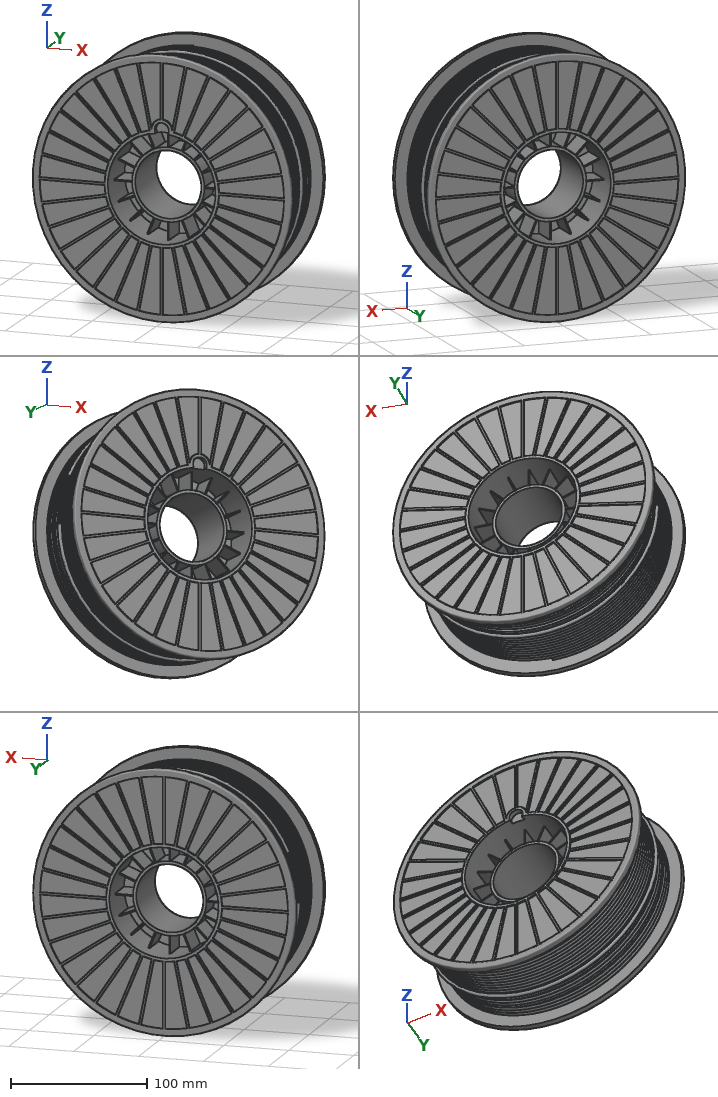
import cadquery as cq
SPOOL_WIDTH = 75.0
FLANGE_DIAMETER = 202.0
FLANGE_THICKNESS = 5.0
RIM_FILLET = 1.0
DRUM_DIAMETER = 89.0
DRUM_BORE = 84.0
CORE_DIAMETER = 56.5
CORE_BORE = 51.5

RECESS_DIAMETER = 190.7
RECESS_DEPTH = 1.0
SPOKE_COUNT = 32
SPOKE_WIDTH = 1.8

WEB_COUNT = 16
WEB_THICKNESS = 1.0
CORE_SETBACK = 14.3
DISC_THICKNESS = 2.0

SOCKET_DIAMETER = 11.1
SOCKET_DEPTH = 4.0
COLLAR_DIAMETER = 16.2

WINDING_DIAMETER = 185.2
WIRE_PITCH = 3.0
WIRE_TURNS = 20.5
TURN_CLEARANCE = 0.05
CREST_HEIGHT = 0.8

GAP_TURNS = (3, 6)
GAP_WIDTH = 1.2
GAP_DEPTH = 3.0

LOOP_DIAMETER = 190.3
LOOP_WIRE_DIAMETER = 3.0
LOOP_OFFSET = 5.7
LOOP_SWEEP = 337.0
LOOP_LIFT = 0.1
LOOP_BED_TURN = 8

FOOT_WIDTH = 1.2
FOOT_LENGTH = 4.0
FOOT_DEPTH = 2.0

FRONT_FACE = -SPOOL_WIDTH / 2
DRUM_LENGTH = SPOOL_WIDTH - 2 * FLANGE_THICKNESS
WINDING_RADIUS = WINDING_DIAMETER / 2
WINDING_LENGTH = (WIRE_TURNS + 1) * WIRE_PITCH
END_CLEARANCE = (DRUM_LENGTH - WINDING_LENGTH) / 2

CORE_WALL_RADIUS = (CORE_DIAMETER + CORE_BORE) / 4
DRUM_WALL_RADIUS = (DRUM_DIAMETER + DRUM_BORE) / 4
RIM_RADIUS = (FLANGE_DIAMETER + RECESS_DIAMETER) / 4


def section_at(y):
    """Sketch plane across the spool axis: +X right, +Z up, extruding toward -Y."""
    return cq.Workplane("XZ", origin=(0, y, 0))


def tube(outer_diameter, inner_diameter, y_back, length):
    return (
        section_at(y_back)
        .circle(outer_diameter / 2)
        .circle(inner_diameter / 2)
        .extrude(length)
    )


def radial_bars(count, width, inner_radius, outer_radius, y_back, length):
    """Equally spaced straight bars that run from one radius to another."""
    return (
        section_at(y_back)
        .polarArray((inner_radius + outer_radius) / 2, 0, 360, count)
        .rect(outer_radius - inner_radius, width)
        .extrude(length)
    )


def make_front_flange():
    flange = tube(FLANGE_DIAMETER, DRUM_BORE, FRONT_FACE + FLANGE_THICKNESS, FLANGE_THICKNESS)
    flange = flange.faces("<Y").edges(cq.selectors.RadiusNthSelector(-1)).fillet(RIM_FILLET)
    recess_floor = FRONT_FACE + RECESS_DEPTH
    flange = flange.cut(tube(RECESS_DIAMETER, DRUM_DIAMETER, recess_floor, RECESS_DEPTH))
    spokes = radial_bars(
        SPOKE_COUNT, SPOKE_WIDTH, DRUM_WALL_RADIUS, RIM_RADIUS, recess_floor, RECESS_DEPTH
    )
    return flange.union(spokes)


def add_socket(body):
    center_height = DRUM_DIAMETER / 2
    collar = (
        section_at(FRONT_FACE + SOCKET_DEPTH)
        .center(0, center_height)
        .circle(COLLAR_DIAMETER / 2)
        .extrude(SOCKET_DEPTH)
        .cut(section_at(FRONT_FACE + SOCKET_DEPTH).circle(DRUM_BORE / 2).extrude(SOCKET_DEPTH))
    )
    socket = (
        section_at(FRONT_FACE + SOCKET_DEPTH)
        .center(0, center_height)
        .circle(SOCKET_DIAMETER / 2)
        .extrude(SOCKET_DEPTH)
    )
    return body.union(collar).cut(socket)


def make_spool():
    front_flange = make_front_flange()
    back_flange = front_flange.mirror("XZ")
    drum = tube(DRUM_DIAMETER, DRUM_BORE, DRUM_LENGTH / 2, DRUM_LENGTH)
    core_length = SPOOL_WIDTH - 2 * CORE_SETBACK
    core = tube(CORE_DIAMETER, CORE_BORE, core_length / 2, core_length)
    disc = tube(2 * DRUM_WALL_RADIUS, 2 * CORE_WALL_RADIUS, DISC_THICKNESS / 2, DISC_THICKNESS)
    webs = radial_bars(
        WEB_COUNT, WEB_THICKNESS, CORE_WALL_RADIUS, DRUM_WALL_RADIUS, core_length / 2, core_length
    )
    body = drum.union(front_flange).union(back_flange)
    body = body.union(core).union(disc).union(webs)
    return add_socket(body)


def turn_section(has_gap):
    """Section of one turn: radius along X, depth from the +Y end along the other axis."""
    width = WIRE_PITCH - TURN_CLEARANCE
    shoulder = WINDING_RADIUS - CREST_HEIGHT
    back_flank = GAP_WIDTH if has_gap else 0
    section = (
        cq.Workplane("XZ")
        .moveTo(DRUM_DIAMETER / 2, 0)
        .lineTo(DRUM_DIAMETER / 2, width)
        .lineTo(shoulder, width)
        .threePointArc((WINDING_RADIUS, (width + back_flank) / 2), (shoulder, back_flank))
    )
    if has_gap:
        gap_floor = WINDING_RADIUS - GAP_DEPTH
        section = section.lineTo(gap_floor, back_flank).lineTo(gap_floor, 0)
    return section.close()


def make_turns(first, last):
    """Stretch of the strip between two turn counts, from the top of the +Y end and first toward -X."""
    path = cq.Wire.makeHelix(WIRE_PITCH, WIRE_PITCH * (last - first), WINDING_RADIUS)
    turns = turn_section(first in GAP_TURNS).sweep(cq.Workplane(path), isFrenet=True).val()
    start_y = DRUM_LENGTH / 2 - END_CLEARANCE - first * WIRE_PITCH
    start = cq.Plane(origin=(0, start_y, 0), xDir=(0, 0, 1), normal=(0, -1, 0))
    return cq.Workplane(turns.moved(cq.Location(start)))


def make_loop():
    """Open ring with a round top and a flat underside just clear of the crests."""
    half_width = LOOP_WIRE_DIAMETER / 2
    top = LOOP_DIAMETER / 2
    wire_center = top - half_width
    underside = WINDING_RADIUS + LOOP_LIFT
    return (
        cq.Workplane("XY")
        .moveTo(-underside, LOOP_OFFSET - half_width)
        .lineTo(-wire_center, LOOP_OFFSET - half_width)
        .threePointArc((-top, LOOP_OFFSET), (-wire_center, LOOP_OFFSET + half_width))
        .lineTo(-underside, LOOP_OFFSET + half_width)
        .close()
        .revolve(LOOP_SWEEP, (0, 0, 0), (0, -1, 0))
    )


def make_foot():
    """Block at the place where the crest of the bed turn passes under the middle of the loop."""
    loop_depth = DRUM_LENGTH / 2 - END_CLEARANCE - LOOP_OFFSET
    crest_depth = LOOP_BED_TURN * WIRE_PITCH + (WIRE_PITCH - TURN_CLEARANCE) / 2
    angle_from_top = (loop_depth - crest_depth) / WIRE_PITCH * 360
    foot_top = (LOOP_DIAMETER - LOOP_WIRE_DIAMETER) / 2
    foot_bottom = WINDING_RADIUS - FOOT_DEPTH
    foot = cq.Workplane("XY").box(FOOT_LENGTH, FOOT_WIDTH, foot_top - foot_bottom)
    foot = foot.translate((0, LOOP_OFFSET, (foot_top + foot_bottom) / 2))
    return foot.rotate((0, 0, 0), (0, 1, 0), -angle_from_top)


def make_winding():
    """Join the stretches end to end: the gapped turns and the bed of the loop are their own stretches."""
    breaks = {0, WIRE_TURNS}
    for turn in (*GAP_TURNS, LOOP_BED_TURN):
        breaks.update((turn, turn + 1))
    breaks = sorted(breaks)

    body = make_loop().union(make_foot())
    bed = make_turns(LOOP_BED_TURN, LOOP_BED_TURN + 1)
    body = body.union(bed, clean=False)
    stretches = [
        make_turns(first, last).val()
        for first, last in zip(breaks, breaks[1:])
        if first != LOOP_BED_TURN
    ]
    return cq.Workplane(body.val().fuse(*stretches).Solids()[0])


spool = make_spool()
winding = make_winding()
result = cq.Compound.makeCompound([spool.val(), winding.val()])